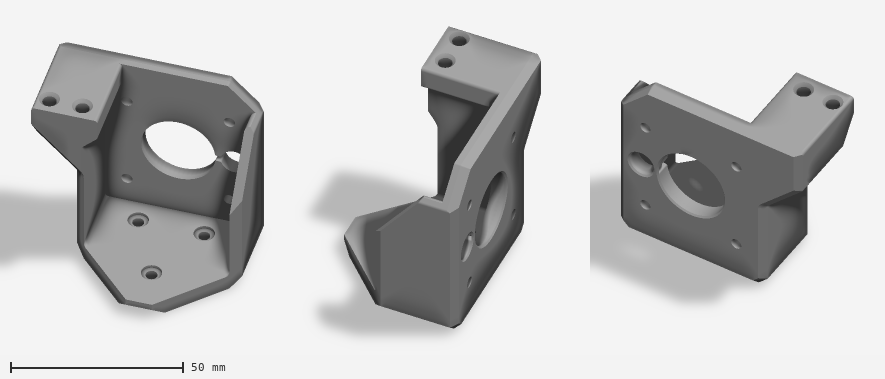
import cadquery as cq
import math

HALF_WIDTH = 25.0
ARM_END = -37.0
TOP = 30.0
BOTTOM = -29.25
DEPTH = 45.0
ARM_DEPTH = 30.0
PLATE = 5.0
WALL = 3.0
FLOOR = 5.1
ROUND = 1.0
FAR = 93

ARM_UNDERSIDE = 15.0
BOTTOM_CHAMFER = 3.0
CORNER_CUT = 10.0
BACK_CHAMFER = 2.0
TIP_CHAMFER = 3.0
TOP_BEVEL_DEPTH = 3.0
TOP_BEVEL_DROP = 0.75
FRONT_BEVEL_START = 24.0

ARM_INNER = -17.0
ARM_STEP = 23.0
WALL_TOP = 21.4
WALL_TOP_ROUND = 1.5
WALL_SLOPE_DEPTH = 24.0
WALL_SLOPE_FOOT = 4.0
WALL_SLOPE_RATIO = 0.75

MOTOR_RADIUS = 11.2
SIDE_HOLE_X = 17.0
SIDE_HOLE_RADIUS = 4.1
GROOVE_WIDTH = 2.05
GROOVE_DEPTH = 4.5
RIM_CHAMFER = 0.5
GROOVE_ROUND = 0.6
MOTOR_SCREW_OFFSET = 15.5
SCREW_RADIUS = 1.75
FLOOR_SCREW_X = 10.0
FLOOR_SCREW_DEPTH = 12.1
FLOOR_TIP_SCREW_DEPTH = 32.1
FLOOR_BORE_RADIUS = 3.1
FLOOR_BORE_DEPTH = 1.0
ARM_HOLE_XS = (-33.0, -23.0)
ARM_HOLE_Y = -25.0
ARM_HOLE_RADIUS = 2.1
ARM_SINK_RADIUS = 3.05
ARM_SINK_DEPTH = 1.0
ARM_HOLE_DEPTH = 10.0


def outline(points, depth=0.0):
    """Closed XZ outline at a given depth from the back face."""
    return cq.Workplane("XZ", origin=(0, -depth, 0)).polyline(points).close()


def prism(points, start, end):
    return outline(points, start).extrude(end - start)


def round_edge(body, point, radius):
    """Round the edge along Y that lies nearest to a point."""
    return body.edges("|Y").edges(cq.selectors.NearestToPointSelector(point)).fillet(radius)


def rounded_prism(points, start, end, corners, radius):
    """Prism whose lengthwise edges at the listed XZ corners are rounded."""
    body = prism(points, start, end)
    for x, z in corners:
        body = round_edge(body, (x, -(start + end) / 2, z), radius)
    return body


arm_root = (-HALF_WIDTH, ARM_UNDERSIDE + ARM_END + HALF_WIDTH)
arm_corner = (ARM_END, ARM_UNDERSIDE)
lower_points = [
    (ARM_END, FAR),
    arm_corner,
    arm_root,
    (-HALF_WIDTH, BOTTOM + BOTTOM_CHAMFER),
    (-HALF_WIDTH + BOTTOM_CHAMFER, BOTTOM),
    (HALF_WIDTH - BOTTOM_CHAMFER, BOTTOM),
    (HALF_WIDTH, BOTTOM + BOTTOM_CHAMFER),
    (HALF_WIDTH, FAR),
]


def lower_envelope():
    """Outline carried through the depth, with a 45 degree chamfer around the back."""
    body = rounded_prism(lower_points, BACK_CHAMFER, DEPTH, [arm_root, arm_corner], ROUND)
    back = body.faces(">Y").wires().vals()
    chamfer = cq.Workplane("XZ", origin=(0, -BACK_CHAMFER, 0)).add(back).toPending()
    return body.union(chamfer.extrude(-BACK_CHAMFER, taper=45))


def top_envelope():
    """Top edge and upper right corner cut, with their shallow bevel at the back."""
    points = [
        (-FAR, TOP),
        (HALF_WIDTH - CORNER_CUT, TOP),
        (HALF_WIDTH - CORNER_CUT + FAR, TOP - FAR),
        (-FAR, TOP - FAR),
    ]
    angle = math.degrees(math.atan2(TOP_BEVEL_DROP, TOP_BEVEL_DEPTH))
    body = rounded_prism(points, TOP_BEVEL_DEPTH, DEPTH, [(HALF_WIDTH - CORNER_CUT, TOP)], ROUND)
    back = body.faces(">Y").wires().vals()
    bevel = cq.Workplane("XZ", origin=(0, -TOP_BEVEL_DEPTH, 0)).add(back).toPending()
    return body.union(bevel.extrude(-TOP_BEVEL_DEPTH, taper=angle))


def front_envelope():
    """Sides and arm underside that taper inward at 45 degrees toward the front."""
    root_x, root_z = arm_root
    points = [
        (root_x - FAR, root_z + FAR),
        arm_root,
        (-HALF_WIDTH, -FAR),
        (HALF_WIDTH, -FAR),
        (HALF_WIDTH, root_z + FAR),
    ]
    body = rounded_prism(points, 0, FRONT_BEVEL_START, [arm_root], ROUND)
    front = body.faces("<Y").wires().vals()
    taper = cq.Workplane("XZ", origin=(0, -FRONT_BEVEL_START, 0)).add(front).toPending()
    return body.union(taper.extrude(DEPTH - FRONT_BEVEL_START, taper=45))


def cavity():
    """Open space in front of the back plate, between arm, walls and floor."""
    left = -HALF_WIDTH + WALL
    right = HALF_WIDTH - WALL
    floor = BOTTOM + FLOOR
    step = (ARM_INNER, ARM_STEP)
    web = (left, ARM_STEP - (ARM_INNER - left))
    points = [
        (ARM_INNER, FAR),
        step,
        web,
        (left, floor),
        (right, floor),
        (right, WALL_TOP),
        (FAR, WALL_TOP),
        (FAR, FAR),
    ]
    corners = [step, web, (left, floor), (right, floor)]
    body = rounded_prism(points, PLATE, DEPTH + FAR, corners, ROUND)
    return round_edge(body, (right, -(PLATE + DEPTH + FAR) / 2, WALL_TOP), WALL_TOP_ROUND)


def side_prism(points, x_start, x_end):
    """Prism along X from (depth, height) points."""
    profile = [(-depth, z) for depth, z in points]
    return cq.Workplane("YZ", origin=(x_start, 0, 0)).polyline(profile).close().extrude(x_end - x_start)


def arm_front_cut():
    """Clears everything above the floor in front of the arm."""
    floor = BOTTOM + FLOOR
    points = [(ARM_DEPTH, floor), (FAR, floor), (FAR, FAR), (ARM_DEPTH, FAR)]
    return side_prism(points, -FAR, FAR)


def wall_slope_cut():
    """Sloping front of the right wall."""
    lower_z = BOTTOM + FLOOR
    lower_depth = WALL_SLOPE_DEPTH + WALL_SLOPE_RATIO * (WALL_SLOPE_FOOT - lower_z)
    upper_depth = WALL_SLOPE_DEPTH + WALL_SLOPE_RATIO * (WALL_SLOPE_FOOT - TOP)
    points = [(lower_depth, lower_z), (upper_depth, TOP), (FAR, TOP), (FAR, lower_z)]
    return side_prism(points, HALF_WIDTH - WALL, FAR)


def tip_chamfer_cut():
    points = [
        (DEPTH - TIP_CHAMFER, BOTTOM),
        (DEPTH, BOTTOM),
        (DEPTH, BOTTOM + TIP_CHAMFER),
    ]
    return side_prism(points, -HALF_WIDTH, HALF_WIDTH)


def motor_holes():
    """Motor opening, side hole and four screw holes through the back plate."""
    screws = [(x, z) for x in (-MOTOR_SCREW_OFFSET, MOTOR_SCREW_OFFSET)
              for z in (-MOTOR_SCREW_OFFSET, MOTOR_SCREW_OFFSET)]
    plane = cq.Workplane("XZ")
    holes = plane.pushPoints(screws).circle(SCREW_RADIUS).extrude(PLATE)
    for x, radius in ((0, MOTOR_RADIUS), (SIDE_HOLE_X, SIDE_HOLE_RADIUS)):
        opening = plane.center(x, 0)
        holes = holes.union(opening.circle(radius).extrude(PLATE))
        holes = holes.union(opening.circle(radius + RIM_CHAMFER).extrude(RIM_CHAMFER, taper=45))
    return holes


def motor_groove():
    """Blind groove joining the motor opening and the side hole, with rounded mouths."""
    plane = cq.Workplane("XZ", origin=(0, -(PLATE - GROOVE_DEPTH), 0))
    groove = plane.center(SIDE_HOLE_X / 2, 0).rect(SIDE_HOLE_X, GROOVE_WIDTH).extrude(GROOVE_DEPTH)
    groove = groove.union(plane.circle(MOTOR_RADIUS).extrude(GROOVE_DEPTH))
    groove = groove.union(plane.center(SIDE_HOLE_X, 0).circle(SIDE_HOLE_RADIUS).extrude(GROOVE_DEPTH))
    half = GROOVE_WIDTH / 2
    motor_mouth = math.sqrt(MOTOR_RADIUS**2 - half**2)
    side_mouth = SIDE_HOLE_X - math.sqrt(SIDE_HOLE_RADIUS**2 - half**2)
    middle_y = -(PLATE - GROOVE_DEPTH / 2)
    for x in (motor_mouth, side_mouth):
        for z in (-half, half):
            groove = round_edge(groove, (x, middle_y, z), GROOVE_ROUND)
    return groove


def floor_holes():
    """Three counterbored screw holes in the floor."""
    spots = [
        (-FLOOR_SCREW_X, -FLOOR_SCREW_DEPTH),
        (FLOOR_SCREW_X, -FLOOR_SCREW_DEPTH),
        (0, -FLOOR_TIP_SCREW_DEPTH),
    ]
    plane = cq.Workplane("XY", origin=(0, 0, BOTTOM + FLOOR)).pushPoints(spots)
    bores = plane.circle(FLOOR_BORE_RADIUS).extrude(-FLOOR_BORE_DEPTH)
    return bores.union(plane.circle(SCREW_RADIUS).extrude(-FLOOR))


def arm_holes():
    """Two blind, countersunk holes in the top of the arm."""
    profile = [
        (0, 0),
        (ARM_SINK_RADIUS, 0),
        (ARM_HOLE_RADIUS, -ARM_SINK_DEPTH),
        (ARM_HOLE_RADIUS, -ARM_HOLE_DEPTH),
        (0, -ARM_HOLE_DEPTH),
    ]
    hole = cq.Workplane("XZ").polyline(profile).close().revolve(360, (0, 0), (0, 1))
    first, second = [hole.translate((x, ARM_HOLE_Y, TOP)) for x in ARM_HOLE_XS]
    return first.union(second)


body = lower_envelope().intersect(top_envelope()).intersect(front_envelope())
body = body.cut(cavity()).cut(arm_front_cut()).cut(wall_slope_cut()).cut(tip_chamfer_cut())
for edge_x in (ARM_END, ARM_INNER):
    body = round_edge(body, (edge_x, -ARM_DEPTH / 2, TOP), ROUND)
body = round_edge(body, (HALF_WIDTH, -PLATE, TOP - CORNER_CUT), ROUND)
result = body.cut(motor_holes()).cut(motor_groove()).cut(floor_holes()).cut(arm_holes())